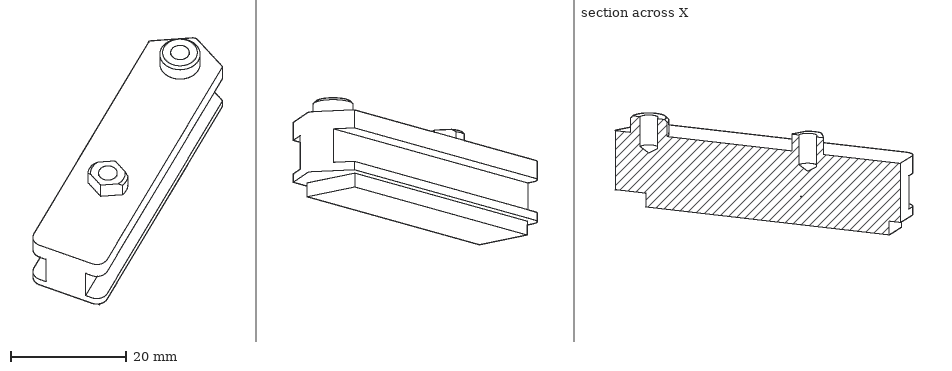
import cadquery as cq
import math

length = 53.85
width = 14.0
web_width = 7.6
corner_radius = 2.0
tip_radius = 1.0
point_angle = math.radians(30)

foot_height = 2.5
lower_flange_height = 1.5
web_height = 6.0
upper_flange_height = 3.25
pin_height = 3.0

foot_width = 10.95
foot_start = 2.15
foot_end = 48.1

pin_diameter = 7.0
pin_chamfer = 0.5
round_pin_y = 47.5
pin_spacing = 30.0
diamond_pin_y = round_pin_y - pin_spacing
diamond_half_length = 3.0
hole_diameter = 3.25
hole_depth = 5.4
drill_tip_angle = math.radians(118)

rail_height = lower_flange_height + web_height + upper_flange_height
web_bottom = foot_height + lower_flange_height
top_face = foot_height + rail_height
pin_top = top_face + pin_height


def make_rail():
    """I-section rail with rounded -Y corners and a pointed +Y end."""
    sharp_tip_y = length + tip_radius * (1 / math.cos(point_angle) - 1)
    shoulder_y = sharp_tip_y - width / 2 * math.tan(point_angle)
    body = (
        cq.Workplane("XY", origin=(0, 0, foot_height))
        .moveTo(-width / 2, 0)
        .lineTo(width / 2, 0)
        .lineTo(width / 2, shoulder_y)
        .lineTo(0, sharp_tip_y)
        .lineTo(-width / 2, shoulder_y)
        .close()
        .extrude(rail_height)
    )
    body = body.edges("|Z and <Y").fillet(corner_radius)
    body = body.edges("|Z and >Y").fillet(tip_radius)

    groove_depth = (width - web_width) / 2
    for side in (-1, 1):
        groove = (
            cq.Workplane("XY", origin=(side * (web_width + groove_depth) / 2, length / 2, web_bottom))
            .rect(groove_depth, 2 * length)
            .extrude(web_height)
        )
        body = body.cut(groove)
    return body


def make_foot():
    """Rectangular strip along the underside."""
    return cq.Workplane("XY").box(
        foot_width, foot_end - foot_start, foot_height, centered=(True, False, False)
    ).translate((0, foot_start, 0))


def make_round_pin(y):
    """Cylindrical pin with a chamfered top rim."""
    return (
        cq.Workplane("XY", origin=(0, y, top_face))
        .circle(pin_diameter / 2)
        .extrude(pin_height)
        .faces(">Z")
        .chamfer(pin_chamfer)
    )


def make_diamond_pin(y):
    """Round pin trimmed by four flats, leaving contact only on the X sides."""
    diamond_half_width = diamond_half_length / math.tan(point_angle)
    diamond = (
        cq.Workplane("XY", origin=(0, y, top_face))
        .polyline([
            (diamond_half_width, 0),
            (0, diamond_half_length),
            (-diamond_half_width, 0),
            (0, -diamond_half_length),
        ])
        .close()
        .extrude(pin_height)
    )
    return make_round_pin(y).intersect(diamond)


def make_pin_hole(y):
    """Blind drilled hole with a conical bottom, entering at the pin's top."""
    hole_radius = hole_diameter / 2
    cone_depth = hole_radius / math.tan(drill_tip_angle / 2)
    return (
        cq.Workplane("XZ", origin=(0, y, pin_top))
        .lineTo(hole_radius, 0)
        .lineTo(hole_radius, -hole_depth)
        .lineTo(0, -hole_depth - cone_depth)
        .close()
        .revolve(360, (0, 0), (0, 1))
    )


result = make_rail().union(make_foot())
result = result.union(make_round_pin(round_pin_y))
result = result.union(make_diamond_pin(diamond_pin_y))
for pin_y in (round_pin_y, diamond_pin_y):
    result = result.cut(make_pin_hole(pin_y))